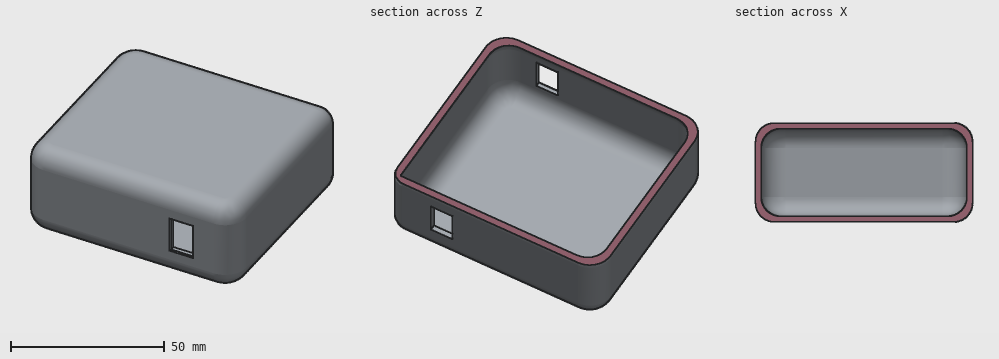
import cadquery as cq

length = 79.0
width = 71.0
height = 32.5
wall = 2.0
edge_radius = 6.3
corner_radius = 7.9
tight_corner_radius = 5.0

window_left = 15.25
window_width = 8.85
window_height = 12.9
window_center_z = 0.0
rim_chamfer = 0.4


def rounded_block(x_size, y_size, z_size):
    """Block with three large upright corners, the +X +Y corner left sharp."""
    return (
        cq.Workplane("XY")
        .box(x_size, y_size, z_size)
        .edges("|Z")
        .edges("<X or <Y")
        .fillet(corner_radius)
        .faces("|Z")
        .edges()
        .fillet(edge_radius)
    )


def window_cutter():
    """Bar along Y through both walls, flared at its front end to chamfer the rim."""
    window_center_x = window_left + window_width / 2
    front = -width / 2
    passage = cq.Workplane("XY").box(
        window_width - 2 * rim_chamfer,
        width,
        window_height - 2 * rim_chamfer,
    )
    flare = (
        cq.Workplane("XZ", origin=(0, front, 0))
        .rect(window_width, window_height)
        .workplane(offset=-rim_chamfer)
        .rect(window_width - 2 * rim_chamfer, window_height - 2 * rim_chamfer)
        .loft(ruled=True)
    )
    return passage.union(flare).translate((window_center_x, 0, window_center_z))


outer = rounded_block(length, width, height)
outer = outer.edges(cq.selectors.NearestToPointSelector((length / 2, width / 2, 0)))
outer = outer.fillet(tight_corner_radius)

cavity = rounded_block(length - 2 * wall, width - 2 * wall, height - 2 * wall)

result = outer.cut(cavity).cut(window_cutter())